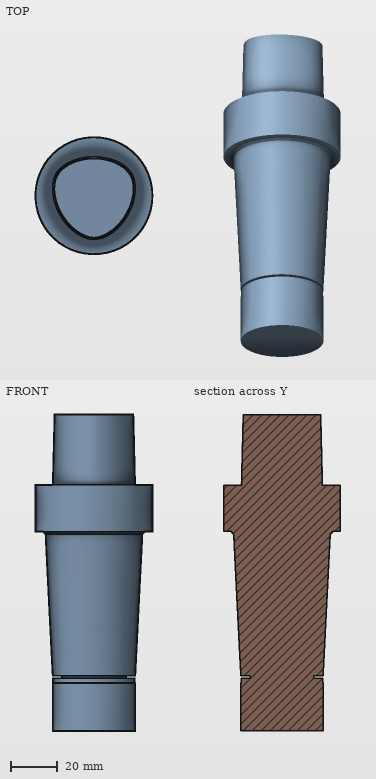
import cadquery as cq
import math

total_height = 135.0
shank_length = 30.0
flange_height = 20.0
flange_top_z = total_height - shank_length
flange_bottom_z = flange_top_z - flange_height

flange_diameter = 50.0
collar_height = 1.0
collar_top_diameter = 43.4
cone_top_z = flange_bottom_z - collar_height

cone_top_diameter = 41.4
cone_bottom_diameter = 35.3
cone_bottom_z = 23.5

groove_diameter = 27.4
groove_width = 1.0
pilot_top_z = cone_bottom_z - groove_width
pilot_diameter = 35.3
pilot_step_z = 20.6
pilot_step_chamfer_height = 0.3
pilot_step_diameter = 35.0

shank_base_width = 35.2
shank_taper = 1 / 20
shank_top_width = shank_base_width - shank_taper * shank_length
lobe_height = 1.0
lobe_count = 3
outline_points = 48


def turned_body():
    """Revolve the flange, collar, tapered body, groove and pilot about Z."""
    profile = [
        (0, 0),
        (pilot_diameter / 2, 0),
        (pilot_diameter / 2, pilot_step_z - pilot_step_chamfer_height),
        (pilot_step_diameter / 2, pilot_step_z),
        (pilot_step_diameter / 2, pilot_top_z),
        (groove_diameter / 2, pilot_top_z),
        (groove_diameter / 2, cone_bottom_z),
        (cone_bottom_diameter / 2, cone_bottom_z),
        (cone_top_diameter / 2, cone_top_z),
        (collar_top_diameter / 2, flange_bottom_z),
        (flange_diameter / 2, flange_bottom_z),
        (flange_diameter / 2, flange_top_z),
        (0, flange_top_z),
    ]
    return cq.Workplane("XZ").polyline(profile).close().revolve(360, (0, 0), (0, 1))


def lobed_point(turn, width, z):
    """Point of a three-lobed constant-width curve; turn runs from 0 to 1."""
    angle = 2 * math.pi * turn - math.pi / 2
    lobe_angle = lobe_count * 2 * math.pi * turn
    support = width / 2 + lobe_height * math.cos(lobe_angle)
    slope = -lobe_count * lobe_height * math.sin(lobe_angle)
    x = support * math.cos(angle) - slope * math.sin(angle)
    y = support * math.sin(angle) + slope * math.cos(angle)
    return cq.Vector(x, y, z)


def lobed_outline(width, z):
    """Closed smooth outline of the shank at height z."""
    points = [lobed_point(i / outline_points, width, z) for i in range(outline_points)]
    return cq.Wire.assembleEdges([cq.Edge.makeSpline(points, periodic=True)])


def lobed_shank():
    """Loft the shank between its base and top outlines."""
    base = lobed_outline(shank_base_width, flange_top_z)
    top = lobed_outline(shank_top_width, total_height)
    return cq.Workplane(cq.Solid.makeLoft([base, top], True))


result = turned_body().union(lobed_shank())